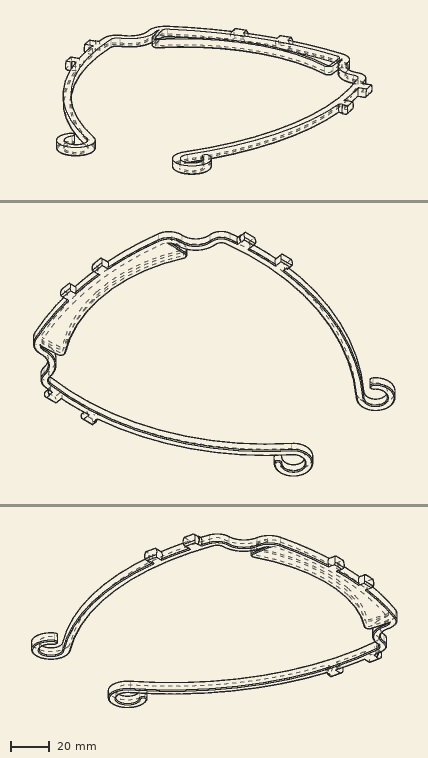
import cadquery as cq
import math

height = 5.0
strip_width = 4.0
edge_chamfer = 0.5

tip_x = 79.3
top_y = 91.8
bottom_y = -91.8

band_radius = 173.3
brow_corner_radius = 7.9
recess_radius = 12.3
cheek_corner_radius = 6.0
leg_radius = 151.5
hook_radius = 8.0

band_center = (0, -87.2)
brow_corner_x = 46.3
cheek_corner_y = 52.3
leg_center = (-78.5, 32.7)
hook_y = bottom_y + hook_radius + strip_width / 2
hook_tip_angle = 48

tray_wall = 1.7
tray_floor = 1.0
pocket_top_radius = band_radius - strip_width / 2
pocket_bottom_y = 77.0
pocket_top_half_width = 50.0
pocket_low_half_width = 49.0
pocket_low_y = 62.8
pocket_top_corner_radius = 2.8
pocket_low_corner_radius = 1.0

tab_width = 8.0
tab_bulge = 1.0
tab_spacing = 25.2
tab_length = 6.2
tab_tip_chamfer = 1.0
brow_tab_x = tab_spacing / 2
upper_side_tab_y = 44.6
lower_side_tab_y = upper_side_tab_y - tab_spacing

side_tab_tip_length = 3.1
upper_root_step = 0.4
lower_root_step = -1.0


def polar(center, radius, angle):
    """Point at an angle in radians on a circle."""
    return (center[0] + radius * math.cos(angle), center[1] + radius * math.sin(angle))


def direction(start, end):
    """Angle in radians of the line from start to end."""
    return math.atan2(end[1] - start[1], end[0] - start[0])


def touching_center(first, first_distance, second, second_distance):
    """Point at the given distances from two points, to the right of the line from first to second."""
    span = math.dist(first, second)
    cosine = (first_distance**2 + span**2 - second_distance**2) / (2 * first_distance * span)
    return polar(first, first_distance, direction(first, second) - math.acos(cosine))


def unchanged(point):
    return point


def mirrored(point):
    """Point on the other side of the part's middle plane X = 0."""
    return (-point[0], point[1])


brow_offset = band_radius - brow_corner_radius
brow_corner = (brow_corner_x, band_center[1] + math.sqrt(brow_offset**2 - brow_corner_x**2))
cheek_offset = leg_radius - cheek_corner_radius
cheek_rise = cheek_corner_y - leg_center[1]
cheek_corner = (leg_center[0] + math.sqrt(cheek_offset**2 - cheek_rise**2), cheek_corner_y)
recess = touching_center(
    cheek_corner,
    cheek_corner_radius + recess_radius,
    brow_corner,
    brow_corner_radius + recess_radius,
)
hook_offset = leg_radius + hook_radius
hook_drop = leg_center[1] - hook_y
hook = (leg_center[0] + math.sqrt(hook_offset**2 - hook_drop**2), hook_y)


def half_centerline():
    """Middle and end points of each arc from the band's crown to the right hook's tip."""
    band_end = direction(band_center, brow_corner)
    brow_end = direction(brow_corner, recess)
    recess_end = direction(recess, cheek_corner)
    cheek_start = direction(cheek_corner, recess)
    cheek_end = direction(leg_center, cheek_corner)
    leg_end = direction(leg_center, hook)
    hook_start = direction(hook, leg_center)
    hook_end = math.radians(hook_tip_angle) + 2 * math.pi
    bends = [
        (band_center, band_radius, math.pi / 2, band_end),
        (brow_corner, brow_corner_radius, band_end, brow_end),
        (recess, recess_radius, brow_end + math.pi, recess_end + 2 * math.pi),
        (cheek_corner, cheek_corner_radius, cheek_start, cheek_end),
        (leg_center, leg_radius, cheek_end, leg_end),
        (hook, hook_radius, hook_start, hook_end),
    ]
    return [
        (polar(center, radius, (start + end) / 2), polar(center, radius, end))
        for center, radius, start, end in bends
    ]


def make_strip():
    crown = (0, band_center[1] + band_radius)
    arcs = half_centerline()
    edges = []
    for side in (unchanged, mirrored):
        start = crown
        for middle, end in arcs:
            points = [cq.Vector(*side(point)) for point in (start, middle, end)]
            edges.append(cq.Edge.makeThreePointArc(*points))
            start = end
    centerline = cq.Wire.assembleEdges(edges)
    outline = cq.Workplane(centerline).toPending().offset2D(strip_width / 2)
    return outline.extrude(height).faces("<Z").chamfer(edge_chamfer)


def pocket_outline(height_above_base):
    top_end_y = band_center[1] + math.sqrt(pocket_top_radius**2 - pocket_top_half_width**2)
    return (
        cq.Workplane("XY", origin=(0, 0, height_above_base))
        .moveTo(-pocket_top_half_width, top_end_y)
        .threePointArc((0, band_center[1] + pocket_top_radius), (pocket_top_half_width, top_end_y))
        .lineTo(pocket_low_half_width, pocket_low_y)
        .threePointArc((0, pocket_bottom_y), (-pocket_low_half_width, pocket_low_y))
        .close()
    )


def make_pocket(floor):
    """Pocket volume from the floor up to the top face."""
    block = pocket_outline(floor).extrude(height - floor)
    block = block.edges("|Z").edges(">Y").fillet(pocket_top_corner_radius)
    return block.edges("|Z").edges("<Y").fillet(pocket_low_corner_radius)


def make_tray():
    """Solid tray block: the pocket outline grown outward by the wall."""
    outline = make_pocket(0).faces("<Z").wires().toPending().offset2D(tray_wall)
    return outline.extrude(height, combine=False).faces("<Z").chamfer(edge_chamfer)


def make_tab(length, width):
    """Tab along +X from the origin, centred on Y = 0."""
    bulge = width / 2
    flat = bulge - tab_bulge
    return (
        cq.Workplane("YZ")
        .moveTo(-flat, 0)
        .lineTo(flat, 0)
        .threePointArc((bulge, height / 2), (flat, height))
        .lineTo(-flat, height)
        .threePointArc((-bulge, height / 2), (-flat, 0))
        .close()
        .extrude(length)
    )


def make_tip(length):
    """Tab of standard width with its lower end edge chamfered."""
    return make_tab(length, tab_width).faces(">X").edges("<Z").chamfer(tab_tip_chamfer)


def make_brow_tab():
    tab = make_tip(tab_length).rotate((0, 0, 0), (0, 0, 1), 90)
    return tab.translate((brow_tab_x, top_y - tab_length, 0))


def make_side_tab(y, root_step, outward):
    """Side tab whose root is wider by root_step on its outward (+1 or -1) Y edge."""
    root_length = tab_length - side_tab_tip_length
    root = make_tab(root_length, tab_width + root_step)
    root = root.translate((tip_x - tab_length, y + outward * root_step / 2, 0))
    tip = make_tip(side_tab_tip_length).translate((tip_x - side_tab_tip_length, y, 0))
    return root.union(tip)


result = make_strip().union(make_tray()).cut(make_pocket(tray_floor))

tabs = [
    make_brow_tab(),
    make_side_tab(upper_side_tab_y, upper_root_step, 1),
    make_side_tab(lower_side_tab_y, lower_root_step, -1),
]
for tab in tabs:
    result = result.union(tab).union(tab.mirror("YZ"))